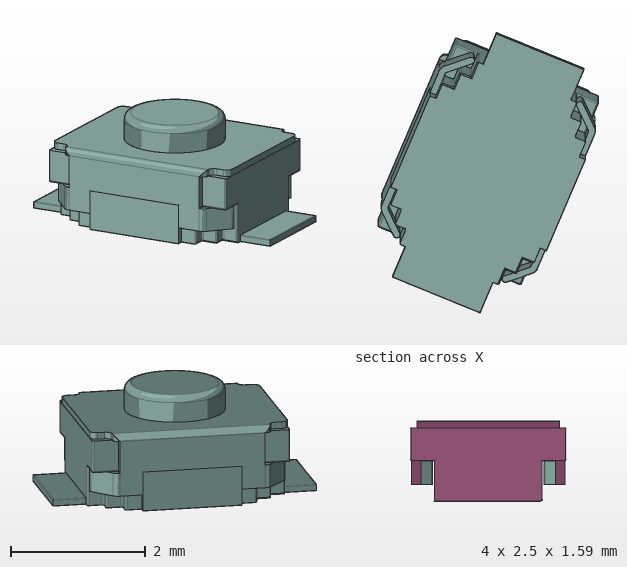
import cadquery as cq
import math

SHEET = 0.1
COVER_WIDTH = 2.5
BODY_LENGTH = 3.0
TOTAL_HEIGHT = 1.59
BUTTON_RISE = 0.4
COVER_TOP = TOTAL_HEIGHT - BUTTON_RISE
PLATE_UNDERSIDE = COVER_TOP - SHEET
COVER_BOTTOM = 0.25
SIDE_LENGTH = 2.2
FOLD_LENGTH = 2.4
NECK_WIDTH = 2.105
PLATE_CORNER_RADIUS = 0.095

WING_TOP = 0.6
WING_BEND_ANGLE = math.radians(48)
WING_BEND_RADIUS = 0.135
WING_STRAIGHT = 0.4

BASE_WIDTH = COVER_WIDTH - 2 * SHEET
CORNER_CUT_HEIGHT = WING_TOP
STEP_LENGTH = 0.25
STEP_WIDTH = 0.175
STEP_COUNT = 2
EDGE_RADIUS = 0.025
STEP_CHAMFER = 0.02
PANEL_LENGTH = 1.5
PANEL_HEIGHT = CORNER_CUT_HEIGHT

TERMINAL_SPAN = 4.0
TERMINAL_WIDTH = 1.41
TERMINAL_THICKNESS = 0.1
TERMINAL_EDGE_RADIUS = 0.01

BUTTON_DIAMETER = 1.5
BUTTON_EDGE_RADIUS = 0.1

CUT_MARGIN = 0.04
TOLERANCE = 0.0005
CORNERS = [(x_side, y_side) for x_side in (-1, 1) for y_side in (-1, 1)]


def box_between(x_size, y_size, z_low, z_high):
    """Box centred on the Z axis between two heights."""
    return cq.Workplane("XY").workplane(offset=z_low).rect(x_size, y_size).extrude(z_high - z_low)


def corner_cut(x_side, y_side):
    """Recess under one corner of the base, with a staircase plan."""
    beyond_x = BODY_LENGTH / 2 + CUT_MARGIN
    beyond_y = BASE_WIDTH / 2 + CUT_MARGIN
    x = BODY_LENGTH / 2 - STEP_COUNT * STEP_LENGTH
    y = BASE_WIDTH / 2
    outline = [(beyond_x, beyond_y), (x, beyond_y)]
    for _ in range(STEP_COUNT):
        y -= STEP_WIDTH
        outline.append((x, y))
        x += STEP_LENGTH
        outline.append((x, y))
    outline[-1] = (beyond_x, y)
    placed = [(x_side * px, y_side * py) for px, py in outline]
    return cq.Workplane("XY").polyline(placed).close().extrude(CORNER_CUT_HEIGHT)


def chamfer_step_bottoms(base):
    """Chamfer the bottom edges of the stairs at two diagonally opposite corners."""
    step_edges = [
        edge
        for edge in base.faces("<Z").edges().vals()
        if edge.Length() < STEP_LENGTH + TOLERANCE and edge.Center().x * edge.Center().y < 0
    ]
    return base.newObject(step_edges).chamfer(STEP_CHAMFER)


def round_base_edges(base):
    """Round the upright edges and the outer edges under the overhanging corners."""

    def is_overhang_edge(edge):
        center = edge.Center()
        at_end = abs(abs(center.x) - BODY_LENGTH / 2) < TOLERANCE
        at_side = abs(abs(center.y) - BASE_WIDTH / 2) < TOLERANCE
        return abs(center.z - CORNER_CUT_HEIGHT) < TOLERANCE and (at_end or at_side)

    overhang_edges = [edge for edge in base.edges().vals() if is_overhang_edge(edge)]
    return base.newObject(overhang_edges + base.edges("|Z").vals()).fillet(EDGE_RADIUS)


def make_terminals():
    """Flat strip whose two ends stick out of the base as solder terminals."""
    strip = box_between(TERMINAL_SPAN, TERMINAL_WIDTH, 0, TERMINAL_THICKNESS)
    return strip.faces(">Z").edges().fillet(TERMINAL_EDGE_RADIUS)


def make_base():
    base = box_between(BODY_LENGTH, BASE_WIDTH, 0, PLATE_UNDERSIDE)
    for x_side, y_side in CORNERS:
        base = base.cut(corner_cut(x_side, y_side))
    base = chamfer_step_bottoms(base)
    base = round_base_edges(base)
    side_panels = box_between(PANEL_LENGTH, COVER_WIDTH, 0, PANEL_HEIGHT)
    return base.union(side_panels).union(make_terminals())


def folded_section():
    """Bar along X, as thick as the sheet, with quarter-round edges where the sides fold down."""
    fold_y = COVER_WIDTH / 2
    flat_y = fold_y - SHEET
    middle = SHEET * math.sqrt(0.5)
    return (
        cq.Workplane("YZ")
        .moveTo(-fold_y, PLATE_UNDERSIDE)
        .threePointArc((-flat_y - middle, PLATE_UNDERSIDE + middle), (-flat_y, COVER_TOP))
        .lineTo(flat_y, COVER_TOP)
        .threePointArc((flat_y + middle, PLATE_UNDERSIDE + middle), (fold_y, PLATE_UNDERSIDE))
        .close()
        .extrude(BODY_LENGTH, both=True)
    )


def make_plate():
    """Top plate: notched at the corners, with the folds to the sides rounded."""
    plate = box_between(BODY_LENGTH, NECK_WIDTH, PLATE_UNDERSIDE, COVER_TOP)
    plate = plate.union(box_between(FOLD_LENGTH, COVER_WIDTH, PLATE_UNDERSIDE, COVER_TOP))
    plate = plate.edges("|Z").fillet(PLATE_CORNER_RADIUS)
    return plate.intersect(folded_section())


def make_side(y_side):
    """One upright side of the cover, with an opening for the base panel."""
    y_middle = y_side * (COVER_WIDTH - SHEET) / 2
    side = box_between(SIDE_LENGTH, SHEET, COVER_BOTTOM, PLATE_UNDERSIDE)
    opening = box_between(PANEL_LENGTH, SHEET, COVER_BOTTOM, PANEL_HEIGHT)
    return side.cut(opening).translate((0, y_middle, 0))


def make_wing(x_side, y_side):
    """Bent sheet with a fully rounded end, starting at the end of a cover side."""
    bend_x = SIDE_LENGTH / 2
    bend_y = COVER_WIDTH / 2 - WING_BEND_RADIUS

    def on_sheet(depth, angle, forward=0.0):
        """Plan point at a depth below the outer face, after a bend and a straight run."""
        radius = WING_BEND_RADIUS - depth
        x = bend_x + radius * math.sin(angle) + forward * math.cos(angle)
        y = bend_y + radius * math.cos(angle) - forward * math.sin(angle)
        return (x_side * x, y_side * y)

    half_bend = WING_BEND_ANGLE / 2
    return (
        cq.Workplane("XY")
        .workplane(offset=COVER_BOTTOM)
        .moveTo(*on_sheet(0, 0))
        .threePointArc(on_sheet(0, half_bend), on_sheet(0, WING_BEND_ANGLE))
        .lineTo(*on_sheet(0, WING_BEND_ANGLE, WING_STRAIGHT))
        .threePointArc(
            on_sheet(SHEET / 2, WING_BEND_ANGLE, WING_STRAIGHT + SHEET / 2),
            on_sheet(SHEET, WING_BEND_ANGLE, WING_STRAIGHT),
        )
        .lineTo(*on_sheet(SHEET, WING_BEND_ANGLE))
        .threePointArc(on_sheet(SHEET, half_bend), on_sheet(SHEET, 0))
        .close()
        .extrude(WING_TOP - COVER_BOTTOM)
    )


def make_cover():
    cover = make_plate()
    for y_side in (-1, 1):
        cover = cover.union(make_side(y_side))
    for x_side, y_side in CORNERS:
        cover = cover.union(make_wing(x_side, y_side))
    button_hole = cq.Workplane("XY").circle(BUTTON_DIAMETER / 2).extrude(TOTAL_HEIGHT)
    return cover.cut(button_hole)


def make_button():
    """Round button standing on the base and passing through the cover plate."""
    button = cq.Workplane("XY").workplane(offset=PLATE_UNDERSIDE).circle(BUTTON_DIAMETER / 2)
    button = button.extrude(TOTAL_HEIGHT - PLATE_UNDERSIDE)
    return button.faces(">Z").edges().fillet(BUTTON_EDGE_RADIUS)


base = make_base()
cover = make_cover()
button = make_button()

bodies = [base, cover, button]
result = cq.Compound.makeCompound([body.solids().val() for body in bodies])